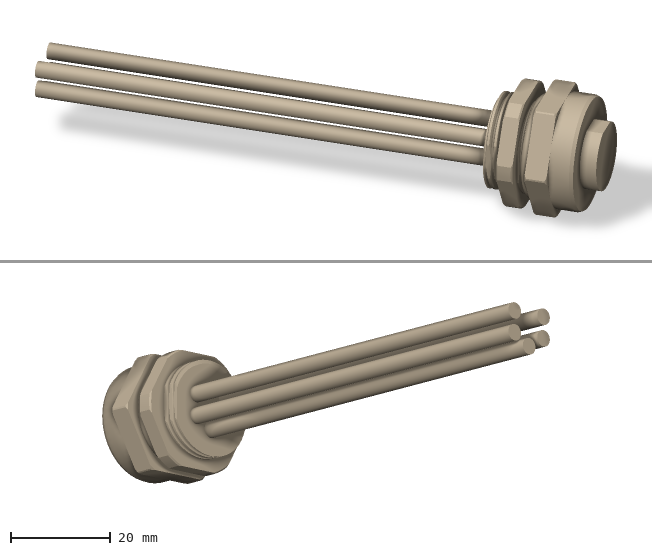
import cadquery as cq
import math

wire_length = 95.4
nut_start = 3.85
nut_width = 3.4
collar_start = 10.0
collar_width = 4.6
body_end = 19.65
plug_end = 23.1

hex_sides = 6
across_flats = 24.0
nut_corner_radius = 13.0
nut_chamfer = 0.3
collar_corner_radius = 13.75
collar_chamfer = 0.35

thread_radius = 9.95
thread_pitch = 1.5
thread_depth = 0.85
groove_mouth = 1.1
groove_root = 0.3
groove_overlap = 0.1
groove_run_out = 0.8
flat_distance = 9.2

seal_center_x = 9.35
seal_section_radius = 1.2
seal_outer_radius = 10.9

body_radius = across_flats / 2
body_chamfer_length = 0.75
body_chamfer_height = 0.3
plug_radius = 7.1
plug_flat_height = 6.65

wire_diameter = 3.4
wire_circle_radius = 4.5
wire_places = 6
top_angle = 90.0


def disc(start, end, radius):
    """Cylinder on the X axis between two stations."""
    return cq.Workplane("YZ", origin=(start, 0, 0)).circle(radius).extrude(end - start)


def hexagon(start, width, corner_radius, chamfer):
    """Hexagon with horizontal flats, its corners turned down and chamfered."""
    corner_diameter = across_flats / math.cos(math.pi / hex_sides)
    prism = cq.Workplane("YZ", origin=(start, 0, 0)).polygon(hex_sides, corner_diameter).extrude(width)
    turned = disc(start, start + width, corner_radius).edges().chamfer(chamfer)
    return prism.intersect(turned)


def thread_groove(length):
    """Right-hand helical groove of trapezoid section, running out past both ends of the shank."""
    root_radius = thread_radius - thread_depth
    mouth_radius = thread_radius + groove_overlap
    helix = cq.Wire.makeHelix(thread_pitch, length + 2 * groove_run_out, root_radius)
    section = (
        cq.Workplane("XZ")
        .moveTo(root_radius, -groove_root / 2)
        .lineTo(root_radius, groove_root / 2)
        .lineTo(mouth_radius, groove_mouth / 2)
        .lineTo(mouth_radius, -groove_mouth / 2)
        .close()
    )
    groove = section.sweep(cq.Workplane(obj=helix), isFrenet=True)
    return groove.rotate((0, 0, 0), (0, 1, 0), 90).translate((-groove_run_out, 0, 0))


def shank():
    """Threaded shank with a flat on each Y side."""
    threaded = disc(0, collar_start, thread_radius).cut(thread_groove(collar_start))
    slab = cq.Workplane("XY").box(collar_start, 2 * flat_distance, 2 * thread_radius)
    return threaded.intersect(slab.translate((collar_start / 2, 0, 0)))


def seal():
    """Round-section ring pressed against the collar, solid inside next to the collar."""
    ring_radius = seal_outer_radius - seal_section_radius
    ring = (
        cq.Workplane("XY")
        .center(seal_center_x, ring_radius)
        .circle(seal_section_radius)
        .revolve(360, (0, -ring_radius), (1, -ring_radius))
    )
    seated_ring = ring.intersect(disc(0, collar_start, seal_outer_radius + seal_section_radius))
    return seated_ring.union(disc(seal_center_x, collar_start, ring_radius))


def front_body():
    """Round body in front of the collar, with a shallow lead-in at its front edge."""
    body = disc(collar_start, body_end, body_radius)
    return body.faces(">X").edges().chamfer(body_chamfer_length, body_chamfer_height)


def plug():
    """Front plug with a flat on top."""
    plug_length = plug_end - body_end
    below_flat = cq.Workplane("XY").box(plug_length, 2 * plug_radius, plug_radius + plug_flat_height)
    return disc(body_end, plug_end, plug_radius).intersect(
        below_flat.translate((body_end + plug_length / 2, 0, (plug_flat_height - plug_radius) / 2))
    )


def wires():
    """Wires leaving the rear face of the shank."""
    step = 360.0 / wire_places
    angles = [math.radians(top_angle + step * place) for place in range(1, wire_places)]
    centers = [(wire_circle_radius * math.cos(a), wire_circle_radius * math.sin(a)) for a in angles]
    plane = cq.Workplane("YZ", origin=(-wire_length, 0, 0))
    return plane.pushPoints(centers).circle(wire_diameter / 2).extrude(wire_length)


result = (
    shank()
    .union(seal())
    .union(hexagon(nut_start, nut_width, nut_corner_radius, nut_chamfer))
    .union(hexagon(collar_start, collar_width, collar_corner_radius, collar_chamfer))
    .union(front_body())
    .union(plug())
    .union(wires())
)